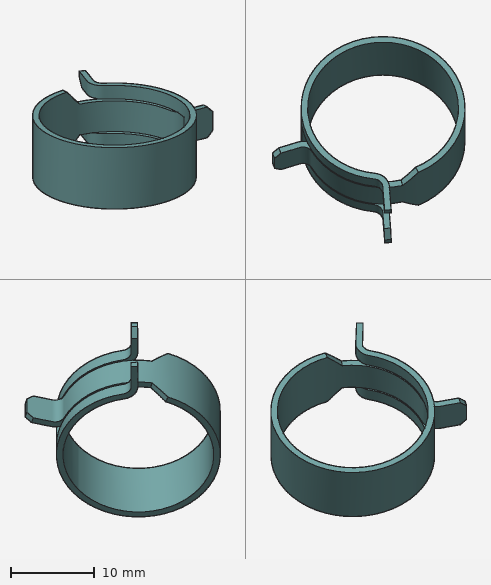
import cadquery as cq
import math


outer_radius = 9.8
thickness = 0.8
inner_radius = outer_radius - thickness
band_width = 8.0
overall_depth = 21.4

tongue_width = 4.0
window_width = 4.5

window_end_angle = 42.8
bend_start_angle = 117.0
tab_direction = 127.4

bend_inside_radius = 1.2
tongue_tab_chamfer = 0.8
strip_tab_chamfer = 1.0

taper_depth = (band_width - tongue_width) / 2
taper_angle = math.degrees(taper_depth / outer_radius)
tongue_root_angle = 180 - window_end_angle


def polar(radius, angle, center=(0, 0)):
    """Point at a radius and an angle in degrees around a center."""
    return (
        center[0] + radius * math.cos(math.radians(angle)),
        center[1] + radius * math.sin(math.radians(angle)),
    )


bend_outside_radius = bend_inside_radius + thickness
bend_center = polar(outer_radius + bend_inside_radius, bend_start_angle)
bend_first_angle = bend_start_angle + 180
bend_last_angle = tab_direction + 90
bend_middle_angle = (bend_first_angle + bend_last_angle) / 2
inside_tangent = polar(bend_inside_radius, bend_last_angle, bend_center)
outside_tangent = polar(bend_outside_radius, bend_last_angle, bend_center)
tip_y = overall_depth - outer_radius
tab_length = (tip_y - inside_tangent[1]) / math.sin(math.radians(tab_direction))
tab_tip = polar(tab_length, tab_direction, inside_tangent)


def sector(first_angle, last_angle, bottom, top):
    """Pie slice about the Z axis, reaching past the band, between two angles and two heights."""
    reach = 2 * outer_radius
    middle = (first_angle + last_angle) / 2
    return (
        cq.Workplane("XY", origin=(0, 0, bottom))
        .polyline([(0, 0), polar(reach, first_angle), polar(reach, middle), polar(reach, last_angle)])
        .close()
        .extrude(top - bottom)
    )


def tab(width):
    """Outward bend and straight grip tab on the -X side, starting from the end of the arc."""
    return (
        cq.Workplane("XY")
        .moveTo(*polar(outer_radius, bend_start_angle))
        .threePointArc(polar(bend_inside_radius, bend_middle_angle, bend_center), inside_tangent)
        .lineTo(*tab_tip)
        .lineTo(*polar(tab_length, tab_direction, outside_tangent))
        .lineTo(*outside_tangent)
        .threePointArc(
            polar(bend_outside_radius, bend_middle_angle, bend_center),
            polar(inner_radius, bend_start_angle),
        )
        .close()
        .extrude(width / 2, both=True)
    )


def tab_corner(corner_height, size):
    """Diamond prism that chamfers a tab corner lying at a given height on the tip."""
    tip_plane = cq.Plane(
        origin=(tab_tip[0], tab_tip[1], 0),
        xDir=(*polar(1, tab_direction), 0),
        normal=(*polar(1, bend_last_angle), 0),
    )
    corners = [
        (-size, corner_height),
        (0, corner_height + size),
        (size, corner_height),
        (0, corner_height - size),
    ]
    return cq.Workplane(tip_plane).polyline(corners).close().extrude(thickness, both=True)


def strip_tabs():
    """Pair of tabs that end the side strips, with the corners next to the window chamfered."""
    pair = tab(band_width).cut(tab(window_width))
    for side in (1, -1):
        pair = pair.cut(tab_corner(side * window_width / 2, strip_tab_chamfer))
    return pair


def tongue_tab():
    """Central tab on the +X side that ends the tongue, with both corners chamfered."""
    blade = tab(tongue_width)
    for side in (1, -1):
        blade = blade.cut(tab_corner(side * tongue_width / 2, tongue_tab_chamfer))
    return blade.mirror("YZ")


def taper_cut(side):
    """Wedge beside the tongue root, with edges that run radially through the band."""
    middle = tongue_root_angle + taper_angle / 2
    near, far = inner_radius - thickness, outer_radius + thickness
    taper_plane = cq.Plane(
        origin=(*polar(near, middle), 0),
        xDir=(*polar(1, middle + 90), 0),
        normal=(*polar(1, middle), 0),
    )

    def triangle(distance):
        """Wedge section at a distance from the Z axis."""
        half = distance * math.tan(math.radians(taper_angle / 2))
        return [
            (-half, side * tongue_width / 2),
            (-half, side * band_width / 2),
            (half, side * band_width / 2),
        ]

    return (
        cq.Workplane(taper_plane)
        .polyline(triangle(near))
        .close()
        .workplane(offset=far - near)
        .polyline(triangle(far))
        .close()
        .loft(ruled=True)
    )


clamp = cq.Workplane("XY").circle(outer_radius).circle(inner_radius).extrude(band_width / 2, both=True)

tongue_end_angle = 180 - bend_start_angle
clamp = clamp.cut(sector(window_end_angle, tongue_end_angle, -window_width / 2, window_width / 2))

for edge_side in (1, -1):
    tongue_edge = edge_side * tongue_width / 2
    window_edge = edge_side * window_width / 2
    band_edge = edge_side * band_width / 2
    clamp = clamp.cut(sector(window_end_angle, bend_start_angle, tongue_edge, window_edge))
    clamp = clamp.cut(sector(bend_start_angle, tongue_root_angle, tongue_edge, band_edge))
    clamp = clamp.cut(taper_cut(edge_side))

result = clamp.union(strip_tabs()).union(tongue_tab())